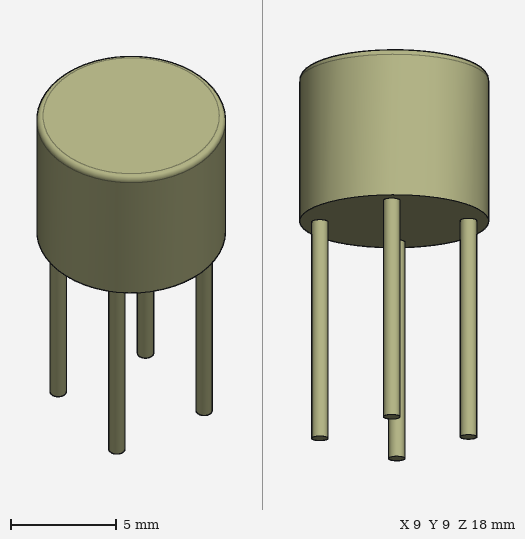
import cadquery as cq

total_height = 18.0
body_diameter = 9.0
body_height = 7.27
top_edge_radius = 0.3
lead_diameter = 0.8
lead_pitch = 5.0
lead_length = total_height - body_height


def make_body():
    """Cylinder with its underside at Z = 0 and a rounded top edge."""
    body = cq.Workplane("XY").circle(body_diameter / 2).extrude(body_height)
    return body.faces(">Z").edges().fillet(top_edge_radius)


def make_leads():
    """Four round leads on a square grid, hanging from the underside."""
    return (
        cq.Workplane("XY")
        .rarray(lead_pitch, lead_pitch, 2, 2)
        .circle(lead_diameter / 2)
        .extrude(-lead_length)
    )


result = make_body().union(make_leads())